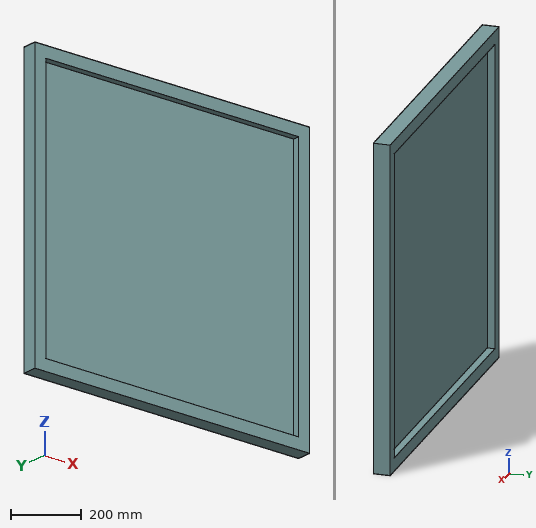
import cadquery as cq

outer_side = 1000.0
frame_depth = 50.0
border_width = 40.0
panel_thickness = 5.0

opening_side = outer_side - 2 * border_width


def square_block(side, thickness):
    """Square block centred on the origin, facing along Y."""
    return cq.Workplane("XY").box(side, thickness, side)


def make_frame():
    """Square frame with a square opening right through it."""
    return square_block(outer_side, frame_depth).cut(square_block(opening_side, frame_depth))


def make_panel():
    """Thin panel that fills the opening, midway through the depth of the frame."""
    return square_block(opening_side, panel_thickness)


frame = make_frame()
panel = make_panel()

result = cq.Compound.makeCompound([frame.val(), panel.val()])